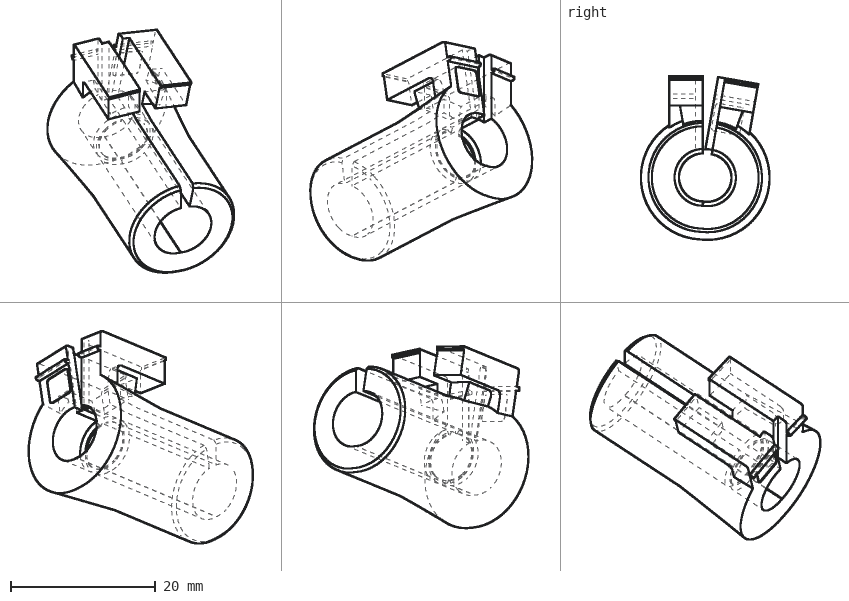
import cadquery as cq
import math


overall_length = 28.4
rib_reach = 0.68
body_length = overall_length - rib_reach

front_diameter = 17.18
front_radius = front_diameter / 2
barrel_radius = 7.53
taper_length = 12.15
rear_chamfer = 0.45
bore_radius = 3.92

ridge_start = 5.42
ridge_slope_length = 0.4
ridge_crest_length = 0.25
ridge_radius = 3.3

opening_angle = 10.0
hinge_depth = 3.64

post_top = 13.97
post_width = 4.65
post_edge_radius = 0.45
leg_length = 3.38
arm_length = 12.72
arm_height = 4.03
arm_bottom = post_top - arm_height
arm_corner_radius = 0.77
lip_reach = 0.2
lip_height = 0.55
web_length = 8.72
web_top_width = 3.18
web_slant = 10.0
web_base_height = 5.68

rib_height = 0.57
rib_drop = 2.75

lock_length = 1.5
lock_width = 1.0

label_width = 3.98
label_height = 3.85
label_depth = 0.09
label_corner_radius = 0.45
label_center_y = 1.33
label_center_z = 8.45


def box(x_range, y_range, z_range):
    """Axis-aligned block given by its limits along X, Y and Z."""
    size = [high - low for low, high in (x_range, y_range, z_range)]
    corner = (x_range[0], y_range[0], z_range[0])
    return cq.Workplane("XY").box(*size, centered=False).translate(corner)


def revolve_about_x(points):
    """Solid of revolution about X from (x, radius) points."""
    return cq.Workplane("XY").polyline(points).close().revolve(360, (0, 0, 0), (1, 0, 0))


def make_sleeve():
    """Outer shape: front taper, straight barrel and rear chamfer."""
    return revolve_about_x([
        (0, 0),
        (0, front_radius),
        (taper_length, barrel_radius),
        (body_length - rear_chamfer, barrel_radius),
        (body_length, barrel_radius - rear_chamfer),
        (body_length, 0),
    ])


def make_bore():
    """Through bore, narrowed by the ridge."""
    crest_start = ridge_start + ridge_slope_length
    crest_end = crest_start + ridge_crest_length
    return revolve_about_x([
        (0, 0),
        (0, bore_radius),
        (ridge_start, bore_radius),
        (crest_start, ridge_radius),
        (crest_end, ridge_radius),
        (crest_end + ridge_slope_length, bore_radius),
        (body_length, bore_radius),
        (body_length, 0),
    ])


def make_post(width):
    """Leg and overhanging arm with a rear lip, extruded from the split plane toward -Y."""
    arm_end = arm_length + lip_reach
    bend = arm_corner_radius * (1 - math.sqrt(0.5))
    return (
        cq.Workplane("XZ")
        .moveTo(0, 0)
        .lineTo(0, post_top - post_edge_radius)
        .radiusArc((post_edge_radius, post_top), post_edge_radius)
        .lineTo(arm_end, post_top)
        .lineTo(arm_end, post_top - lip_height + lip_reach)
        .lineTo(arm_length, post_top - lip_height)
        .lineTo(arm_length, arm_bottom)
        .lineTo(leg_length + arm_corner_radius, arm_bottom)
        .threePointArc(
            (leg_length + bend, arm_bottom - bend),
            (leg_length, arm_bottom - arm_corner_radius),
        )
        .lineTo(leg_length, 0)
        .close()
        .extrude(width)
    )


def make_rib(inner_y):
    """Round-nosed rib on the front face of a -Y post, from inner_y to the outer flank."""
    nose_radius = rib_height / 2
    straight_length = rib_reach - nose_radius
    rib_center = post_top - rib_drop
    return (
        cq.Workplane("XZ", origin=(0, inner_y, rib_center))
        .moveTo(0, -nose_radius)
        .lineTo(-straight_length, -nose_radius)
        .threePointArc((-rib_reach, 0), (-straight_length, nose_radius))
        .lineTo(0, nose_radius)
        .close()
        .extrude(post_width + inner_y)
    )


def make_web():
    """Web under the arm, with a flank that slants in toward the sleeve."""
    inset = (arm_bottom - web_base_height) * math.tan(math.radians(web_slant))
    return (
        cq.Workplane("YZ")
        .moveTo(0, arm_bottom)
        .lineTo(-web_top_width, arm_bottom)
        .lineTo(inset - web_top_width, web_base_height)
        .lineTo(0, web_base_height)
        .close()
        .extrude(web_length)
    )


def make_half():
    """Half shell on the -Y side with its post, before the lock and the bore are added."""
    half_space = box(
        (0, body_length), (-front_radius, 0), (-front_radius, front_radius)
    )
    return (
        make_sleeve()
        .intersect(half_space)
        .union(make_post(post_width))
        .union(make_web())
    )


def make_lock_space():
    """Front corner space on the -Y side, shared by the notch and the tongue."""
    return box((0, lock_length), (-lock_width, 0), (0, post_top))


def make_fixed_half():
    """-Y half with the notch that receives the tongue."""
    return make_half().cut(make_lock_space()).cut(make_bore()).union(make_rib(-lock_width))


def make_label_recess():
    """Rounded rectangular recess in the front face of the +Y post."""
    return (
        cq.Workplane("YZ", origin=(0, label_center_y, label_center_z))
        .rect(label_width, label_height)
        .extrude(label_depth)
        .edges("|X")
        .fillet(label_corner_radius)
    )


def make_opened_half():
    """+Y half with the tongue and label recess, swung open about the hinge line."""
    tongue = make_post(lock_width).intersect(make_lock_space())
    rib = make_rib(lock_width).mirror("XZ")
    closed = (
        make_half()
        .mirror("XZ")
        .union(tongue)
        .cut(make_bore())
        .union(rib)
        .cut(make_label_recess())
    )
    hinge_start = (0, 0, -hinge_depth)
    hinge_end = (1, 0, -hinge_depth)
    return closed.rotate(hinge_start, hinge_end, -opening_angle)


result = make_fixed_half().union(make_opened_half())